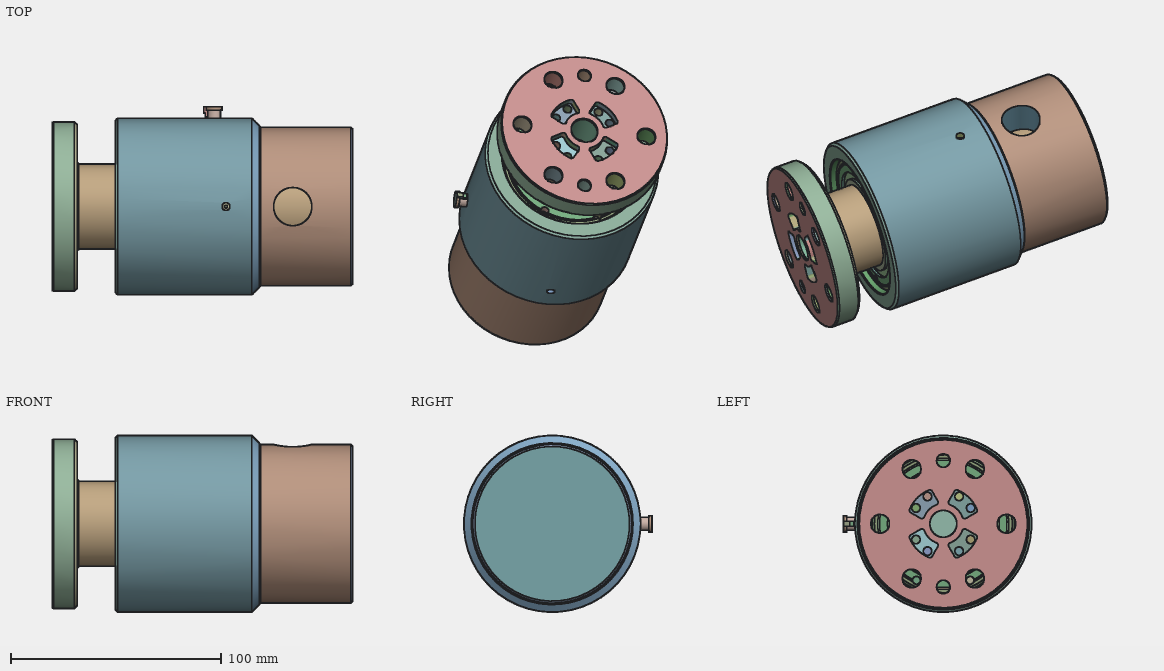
import cadquery as cq
import math

flange_radius = 40.4
flange_thickness = 12.0
flange_front_chamfer = 0.9
flange_front_chamfer_drop = 0.5
flange_back_chamfer = 1.5
shaft_radius = 20.3
shaft_end = 128.9
neck_chamfer = 0.7

hole_circle_radius = 30.0
bolt_hole_diameter = 8.7
bolt_hole_angles = [0, 60, 120, 180, 240, 300]
dowel_hole_diameter = 6.3
dowel_hole_angles = [90, 270]
mouth_clearance = 0.1
mouth_depth = 1.0

centre_bore_diameter = 12.7
centre_bore_depth = 20.0

slot_inner_radius = 9.6
slot_outer_radius = 17.5
slot_depth = 4.0
slot_corner_radius = 1.3
slot_angles = [45, 135, 225, 315]
port_circle_radius = 15.0
port_half_angle = 15.0
port_margin = 3.1
port_diameter = 4.0
port_depth = 17.2

housing_front = 30.0
housing_radius = 42.1
housing_front_chamfer = 1.1
housing_back_chamfer = 3.6
shoulder_x = 98.6
rear_radius = 37.8
rear_chamfer = 1.0
shoulder_relief = 0.6
overall_length = 143.2

recess_radius = 34.0
recess_chamfer = 0.5
recess_depth = 2.9
cover_x = housing_front + recess_depth
cover_chamfer = 1.1
ring_groove_outer = 31.2
ring_groove_inner = 30.4
ring_groove_depth = 0.6
seal_groove_outer = 26.6
seal_groove_inner = 23.0
seal_groove_depth = 1.3

cover_hole_diameter = 3.7
cover_hole_radius = 29.8
cover_hole_depth = 4.3
cover_hole_spread = 25.4
cover_hole_angles = [270 - cover_hole_spread, 270 + cover_hole_spread]

side_port_x = 114.5
side_port_diameter = 18.2

screw_hole_x = 82.8
screw_hole_diameter = 3.7
screw_hole_depth = 3.6
screw_core_diameter = 1.5
screw_core_depth = 5.7

fitting_x = 77.0
fitting_top = 47.5
fitting_stem_diameter = 6.3
fitting_head_diameter = 7.9
fitting_head_thickness = 1.6
fitting_embed = 1.5
fitting_root = housing_radius - fitting_embed
tab_width = 2.3
tab_reach = 4.9
tab_height = 3.0
hook_reach = 4.2
hook_height = 4.9


def face_plane(x):
    """Plane facing +X, with local x along +Y and local y along +Z."""
    return cq.Workplane("YZ", origin=(x, 0, 0))


def polar(radius, angle):
    """Point at the given radius and angle in degrees."""
    return (radius * math.cos(math.radians(angle)), radius * math.sin(math.radians(angle)))


def revolve_about_x(points):
    """Turn a closed outline of (x, radius) points about the X axis."""
    return cq.Workplane("XY").polyline(points).close().revolve(360, (0, 0, 0), (1, 0, 0))


def cylinder_along_x(x, diameter, depth, points):
    """Cylinders that start at x and run toward +X from each (y, z) point."""
    return face_plane(x).pushPoints(points).circle(diameter / 2).extrude(depth)


def face_hole(diameter, depth, centre):
    """Cutter for a hole from the flange face, opened out slightly at its mouth."""
    hole = cylinder_along_x(0, diameter, depth, [centre])
    return hole.union(cylinder_along_x(0, diameter + mouth_clearance, mouth_depth, [centre]))


def kidney_slot():
    """Cutter for one slot centred on the +Y axis, with two ports in its floor."""
    offset_y, offset_z = polar(port_margin, port_half_angle + 90)
    direction_y, direction_z = polar(1, port_half_angle)

    def side_point(radius):
        along = math.sqrt(radius ** 2 - port_margin ** 2)
        return (offset_y + along * direction_y, offset_z + along * direction_z)

    inner_y, inner_z = side_point(slot_inner_radius)
    outer_y, outer_z = side_point(slot_outer_radius)
    slot = (
        face_plane(0)
        .moveTo(inner_y, -inner_z)
        .lineTo(outer_y, -outer_z)
        .threePointArc((slot_outer_radius, 0), (outer_y, outer_z))
        .lineTo(inner_y, inner_z)
        .threePointArc((slot_inner_radius, 0), (inner_y, -inner_z))
        .close()
        .extrude(slot_depth)
        .edges("|X")
        .fillet(slot_corner_radius)
    )
    ports = [polar(port_circle_radius, side * port_half_angle) for side in (-1, 1)]
    return slot.union(cylinder_along_x(0, port_diameter, port_depth, ports))


def make_rotor():
    rotor = revolve_about_x([
        (0, 0),
        (0, flange_radius - flange_front_chamfer_drop),
        (flange_front_chamfer, flange_radius),
        (flange_thickness - flange_back_chamfer, flange_radius),
        (flange_thickness, flange_radius - flange_back_chamfer),
        (flange_thickness, shaft_radius + neck_chamfer),
        (flange_thickness + neck_chamfer, shaft_radius),
        (shaft_end, shaft_radius),
        (shaft_end, 0),
    ])
    for angle in bolt_hole_angles:
        centre = polar(hole_circle_radius, angle)
        rotor = rotor.cut(face_hole(bolt_hole_diameter, flange_thickness, centre))
    for angle in dowel_hole_angles:
        centre = polar(hole_circle_radius, angle)
        rotor = rotor.cut(face_hole(dowel_hole_diameter, flange_thickness, centre))
    rotor = rotor.cut(face_hole(centre_bore_diameter, centre_bore_depth, (0, 0)))
    slot = kidney_slot()
    for angle in slot_angles:
        rotor = rotor.cut(slot.rotate((0, 0, 0), (1, 0, 0), angle))
    return rotor


def housing_body():
    """Turned housing with its stepped front cover and the blind bore for the shaft."""
    return revolve_about_x([
        (cover_x, shaft_radius),
        (cover_x, seal_groove_inner),
        (cover_x + seal_groove_depth, seal_groove_inner),
        (cover_x + seal_groove_depth, seal_groove_outer),
        (cover_x, seal_groove_outer),
        (cover_x, ring_groove_inner),
        (cover_x + ring_groove_depth, ring_groove_inner),
        (cover_x + ring_groove_depth, ring_groove_outer),
        (cover_x, ring_groove_outer),
        (cover_x, recess_radius - cover_chamfer),
        (cover_x + cover_chamfer, recess_radius),
        (housing_front + recess_chamfer, recess_radius),
        (housing_front, recess_radius + recess_chamfer),
        (housing_front, housing_radius - housing_front_chamfer),
        (housing_front + housing_front_chamfer, housing_radius),
        (shoulder_x - housing_back_chamfer, housing_radius),
        (shoulder_x, housing_radius - housing_back_chamfer),
        (shoulder_x, rear_radius + shoulder_relief),
        (shoulder_x + shoulder_relief, rear_radius),
        (overall_length - rear_chamfer, rear_radius),
        (overall_length, rear_radius - rear_chamfer),
        (overall_length, 0),
        (shaft_end, 0),
        (shaft_end, shaft_radius),
    ])


def radial_hole(x, outer_radius, diameter, depth):
    """Cutter for a hole drilled down from the top of a cylinder."""
    return cq.Workplane("XY", origin=(x, 0, outer_radius)).circle(diameter / 2).extrude(-depth)


def screw_hole():
    """Cutter for a stepped screw hole at the top of the housing."""
    mouth = radial_hole(screw_hole_x, housing_radius, screw_hole_diameter, screw_hole_depth)
    return mouth.union(radial_hole(screw_hole_x, housing_radius, screw_core_diameter, screw_core_depth))


def fitting_disc(diameter, bottom, top):
    """Disc of the fitting between two Y positions."""
    plane = cq.Workplane("XZ", origin=(fitting_x, bottom, 0))
    return plane.circle(diameter / 2).extrude(bottom - top)


def fitting_block(reach, bottom, top):
    """Block that sticks out of the fitting toward -X."""
    return (
        cq.Workplane("XY")
        .box(reach, top - bottom, tab_width, centered=(False, False, True))
        .translate((fitting_x - reach, bottom, 0))
    )


def fitting():
    """Capped fitting with a tab and hook on its -X side."""
    stem = fitting_disc(fitting_stem_diameter, fitting_root, fitting_top)
    head = fitting_disc(fitting_head_diameter, fitting_top - fitting_head_thickness, fitting_top)
    tab = fitting_block(tab_reach, fitting_top - tab_height, fitting_top)
    hook = fitting_block(hook_reach, fitting_top - hook_height, fitting_top)
    return stem.union(head).union(tab).union(hook)


def make_housing():
    housing = housing_body()
    cover_holes = [polar(cover_hole_radius, angle) for angle in cover_hole_angles]
    housing = housing.cut(cylinder_along_x(cover_x, cover_hole_diameter, cover_hole_depth, cover_holes))
    housing = housing.cut(radial_hole(side_port_x, rear_radius, side_port_diameter, rear_radius))
    top_hole = screw_hole()
    for angle in (0, 180):
        housing = housing.cut(top_hole.rotate((0, 0, 0), (1, 0, 0), angle))
    return housing.union(fitting())


rotor = make_rotor()
housing = make_housing()

result = cq.Compound.makeCompound([rotor.val(), housing.val()])